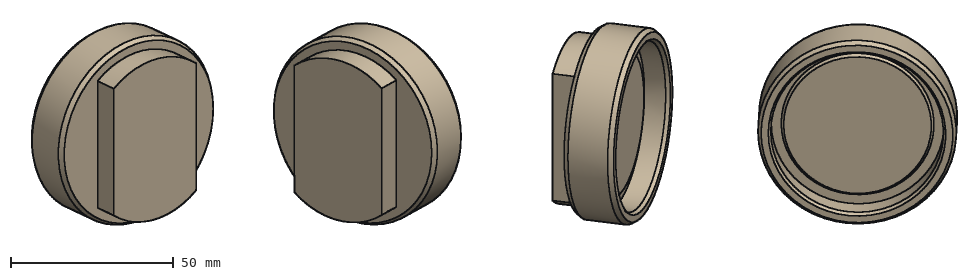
import cadquery as cq

outer_diameter = 61.0
total_length = 24.0
boss_length = 8.0
ring_length = total_length - boss_length
outer_chamfer_depth = 1.6
outer_chamfer_height = 1.05

recess_radius = 26.55
recess_depth = 8.1
recess_chamfer_depth = 1.3
recess_chamfer_height = 0.75

pad_base_radius = 23.5
pad_edge_width = 0.8
pad_height = 1.05

boss_diameter = 53.25
boss_width = 32.6


def make_ring():
    """Revolve the half section of the cup-shaped body about the X axis."""
    outer_radius = outer_diameter / 2
    face_radius = outer_radius - outer_chamfer_height
    half_section = [
        (recess_depth - pad_height, 0),
        (recess_depth - pad_height, pad_base_radius - pad_edge_width),
        (recess_depth, pad_base_radius),
        (recess_depth, recess_radius),
        (recess_chamfer_depth, recess_radius),
        (0, recess_radius + recess_chamfer_height),
        (0, face_radius),
        (outer_chamfer_depth, outer_radius),
        (ring_length - outer_chamfer_depth, outer_radius),
        (ring_length, face_radius),
        (ring_length, 0),
    ]
    profile = cq.Workplane("XY").polyline(half_section).close()
    return profile.revolve(360, (0, 0, 0), (1, 0, 0))


def make_boss():
    """Round boss trimmed by two flats facing -Y and +Y."""
    start = cq.Workplane("YZ").workplane(offset=ring_length)
    cylinder = start.circle(boss_diameter / 2).extrude(boss_length)
    slab = start.rect(boss_width, boss_diameter).extrude(boss_length)
    return cylinder.intersect(slab)


result = make_ring().union(make_boss())